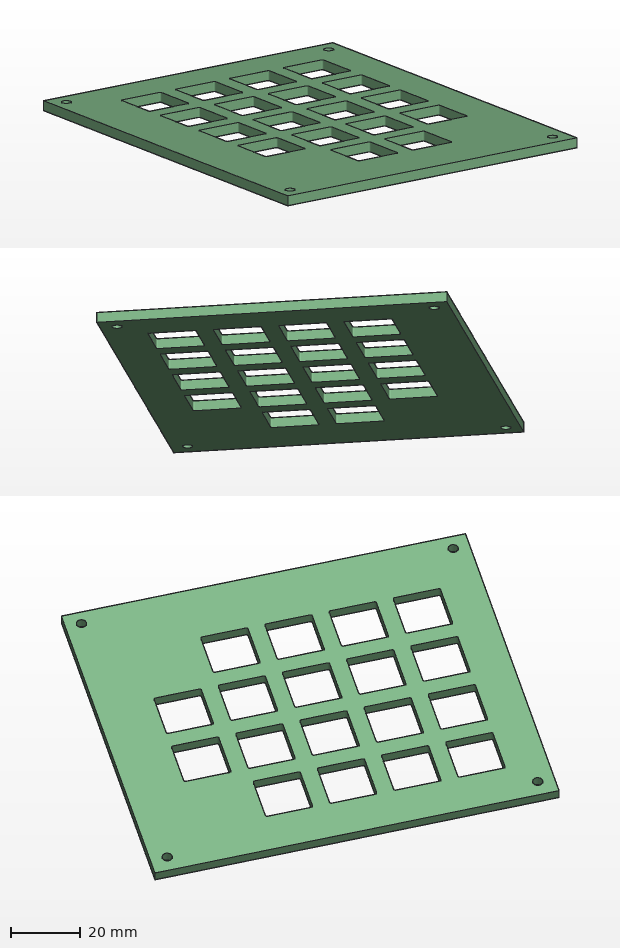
import cadquery as cq

plate_length = 120.0
plate_width = 102.0
plate_thickness = 3.0

key_pitch = 19.05
opening_size = 14.0
opening_corner_radius = 0.5
plate_border = 10.0
first_key_inset = plate_border + key_pitch / 2
columns_per_row = [4, 5, 5, 4]

mount_hole_diameter = 2.9
mount_hole_inset = 5.0
front_left_shift_x = -0.1
front_left_shift_y = -0.45
front_right_shift_x = 0.2
front_right_shift_y = -0.7


def key_centers():
    """Centres of the openings, on a regular grid that starts at the left rear corner."""
    first_x = -plate_length / 2 + first_key_inset
    first_y = plate_width / 2 - first_key_inset
    return [
        (first_x + column * key_pitch, first_y - row * key_pitch)
        for row, column_count in enumerate(columns_per_row)
        for column in range(column_count)
    ]


def mount_hole_centers():
    """Centres of the four mounting holes."""
    hole_x = plate_length / 2 - mount_hole_inset
    hole_y = plate_width / 2 - mount_hole_inset
    return [
        (-hole_x, hole_y),
        (hole_x, hole_y),
        (-hole_x + front_left_shift_x, -hole_y + front_left_shift_y),
        (hole_x + front_right_shift_x, -hole_y + front_right_shift_y),
    ]


def make_plate():
    """Flat plate centred in X and Y, with its underside on Z = 0."""
    return cq.Workplane("XY").box(
        plate_length, plate_width, plate_thickness, centered=(True, True, False)
    )


def make_key_openings():
    """Through cutters for all key openings, with rounded corners."""
    return (
        cq.Workplane("XY")
        .pushPoints(key_centers())
        .rect(opening_size, opening_size)
        .extrude(plate_thickness)
        .edges("|Z")
        .fillet(opening_corner_radius)
    )


def make_mount_holes():
    """Through cutters for the four corner mounting holes."""
    return (
        cq.Workplane("XY")
        .pushPoints(mount_hole_centers())
        .circle(mount_hole_diameter / 2)
        .extrude(plate_thickness)
    )


result = make_plate().cut(make_key_openings()).cut(make_mount_holes())